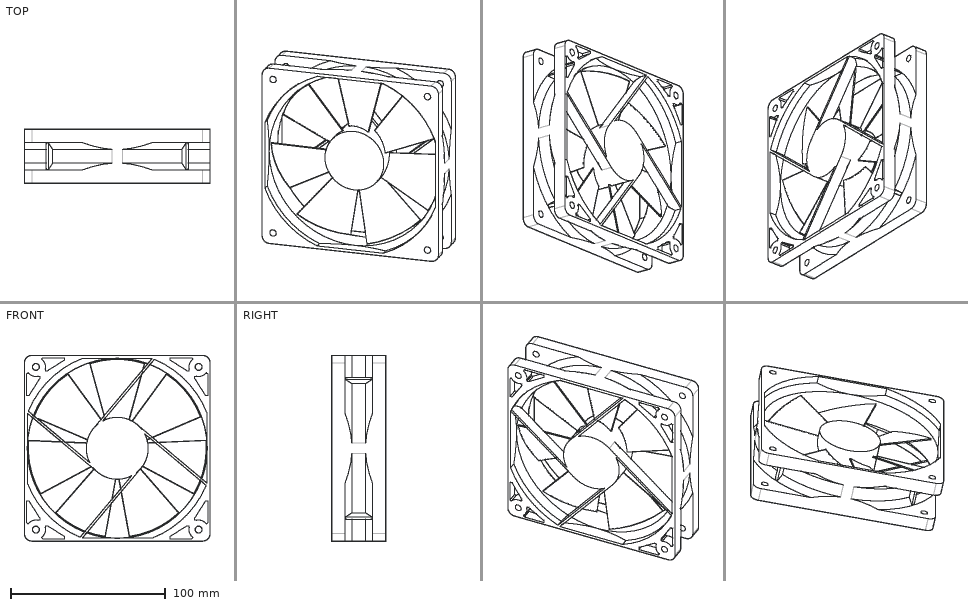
import cadquery as cq
import math


SIDE = 120.0
DEPTH = 35.0
CORNER_RADIUS = 5.0
FLANGE_THICKNESS = DEPTH / 4
FRONT_Y = -DEPTH / 2
FLANGE_INNER_Y = DEPTH / 2 - FLANGE_THICKNESS

WAIST_RADIUS = 60.1
WAIST_HALF_LENGTH = 4.5
BARREL_END_RADIUS = 64.0

THROAT_RADIUS = 58.0
THROAT_HALF_LENGTH = 8.75
MOUTH_RADIUS = 62.2
MOUTH_DEPTH = 4.8
BORE_SQUARE = 2 * THROAT_RADIUS

GUSSET_THICKNESS = 2.2
GUSSET_RADIUS = 63.7

HOLE_DIAMETER = 4.3
HOLE_SPACING = 105.0
POCKET_DEPTH = 6.75
POCKET_WALL = 1.6
POCKET_OUTER = SIDE / 2 - POCKET_WALL
POCKET_TIP_X = 34.1
POCKET_TIP_WIDTH = 1.5
POCKET_INNER = 50.0
POCKET_INNER_START = 45.0
POCKET_INNER_END = 46.2
HOLE_BOSS_RADIUS = 6.2
BOSS_ARC_START = 127.0
BOSS_ARC_END = 194.0

HUB_RADIUS = 20.0
HUB_LENGTH = 26.5
SPOKE_COUNT = 4
SPOKE_ANGLE = 50.0
SPOKE_WIDTH = 1.5
SPOKE_DEPTH = 8.0
SPOKE_LENGTH = 60.0

BLADE_COUNT = 7
BLADE_TIP_RADIUS = 57.5
BLADE_THICKNESS = 0.8
BLADE_CENTRE_Y = -0.3
BLADE_ROOT = 16.0
BLADE_END = 59.0
HALF_WIDTH_AT_AXIS = 2.6
HALF_WIDTH_SLOPE = 0.275
HALF_RISE_AT_AXIS = 1.8
HALF_RISE_SLOPE = 0.095


def box_xz(side, y_start, length):
    """Square block centred on the Y axis, from y_start toward +Y."""
    return cq.Workplane("XZ", origin=(0, y_start, 0)).rect(side, side).extrude(-length)


def disc(radius, y_start, length):
    """Cylinder about the Y axis, from y_start toward +Y."""
    return cq.Workplane("XZ", origin=(0, y_start, 0)).circle(radius).extrude(-length)


def turned(points):
    """Solid of revolution about Y from (radius, y) points."""
    return cq.Workplane("XY").polyline(points).close().revolve(360, (0, 0, 0), (0, 1, 0))


def around_y(shape, angle):
    return shape.rotate((0, 0, 0), (0, 1, 0), angle)


def make_barrel():
    return turned([
        (0, -FLANGE_INNER_Y),
        (BARREL_END_RADIUS, -FLANGE_INNER_Y),
        (WAIST_RADIUS, -WAIST_HALF_LENGTH),
        (WAIST_RADIUS, WAIST_HALF_LENGTH),
        (BARREL_END_RADIUS, FLANGE_INNER_Y),
        (0, FLANGE_INNER_Y),
    ])


def make_bore():
    end = DEPTH / 2
    mouth = end - MOUTH_DEPTH
    bore = turned([
        (0, -end),
        (MOUTH_RADIUS, -end),
        (MOUTH_RADIUS, -mouth),
        (THROAT_RADIUS, -THROAT_HALF_LENGTH),
        (THROAT_RADIUS, THROAT_HALF_LENGTH),
        (MOUTH_RADIUS, mouth),
        (MOUTH_RADIUS, end),
        (0, end),
    ])
    return bore.intersect(box_xz(BORE_SQUARE, FRONT_Y, DEPTH))


def make_gussets():
    """Two crossed diagonal plates; the bore leaves only their ends."""
    plate = cq.Workplane("XY").box(2 * GUSSET_RADIUS, 2 * FLANGE_INNER_Y, GUSSET_THICKNESS)
    return around_y(plate, 45).union(around_y(plate, -45))


def boss_point(angle):
    """Point on the round boss about the upper right hole, as (x, z)."""
    hole = HOLE_SPACING / 2
    return (
        hole + HOLE_BOSS_RADIUS * math.cos(math.radians(angle)),
        hole + HOLE_BOSS_RADIUS * math.sin(math.radians(angle)),
    )


def make_pocket():
    """Pocket along the upper edge: a tapered wedge that stops at the round boss of the hole."""
    arc_start = boss_point(BOSS_ARC_START)
    arc_middle = boss_point((BOSS_ARC_START + BOSS_ARC_END) / 2)
    arc_end = boss_point(BOSS_ARC_END)
    outer_end_x = arc_start[0] + (POCKET_OUTER - arc_start[1]) / math.tan(math.radians(BOSS_ARC_START))
    return (
        cq.Workplane("XZ", origin=(0, FRONT_Y, 0))
        .moveTo(*arc_start)
        .threePointArc(arc_middle, arc_end)
        .lineTo(POCKET_INNER_END, POCKET_INNER)
        .lineTo(POCKET_INNER_START, POCKET_INNER)
        .lineTo(POCKET_TIP_X, POCKET_OUTER - POCKET_TIP_WIDTH)
        .lineTo(POCKET_TIP_X, POCKET_OUTER)
        .lineTo(outer_end_x, POCKET_OUTER)
        .close()
        .extrude(-POCKET_DEPTH)
    )


def make_frame():
    outline = box_xz(SIDE, FRONT_Y, DEPTH).edges("|Y").fillet(CORNER_RADIUS)
    waist_gap = box_xz(2 * SIDE, -FLANGE_INNER_Y, 2 * FLANGE_INNER_Y)
    core = make_barrel().union(make_gussets()).intersect(outline)
    frame = outline.cut(waist_gap).union(core).cut(make_bore())
    holes = (
        cq.Workplane("XZ", origin=(0, FRONT_Y, 0))
        .rect(HOLE_SPACING, HOLE_SPACING, forConstruction=True)
        .vertices()
        .circle(HOLE_DIAMETER / 2)
        .extrude(-DEPTH)
    )
    frame = frame.cut(holes)
    pocket = make_pocket()
    pocket_pair = pocket.union(around_y(pocket.mirror("YZ"), 90))
    for quarter in range(4):
        frame = frame.cut(around_y(pocket_pair, 90 * quarter))
    return frame


def make_spoke():
    """Bar whose outer side is tangent to the hub."""
    bar = (
        cq.Workplane("XZ", origin=(0, FRONT_Y, 0))
        .moveTo(0, HUB_RADIUS)
        .lineTo(SPOKE_LENGTH, HUB_RADIUS)
        .lineTo(SPOKE_LENGTH, HUB_RADIUS - SPOKE_WIDTH)
        .lineTo(0, HUB_RADIUS - SPOKE_WIDTH)
        .close()
        .extrude(-SPOKE_DEPTH)
    )
    return around_y(bar, -SPOKE_ANGLE)


def blade_section(height):
    """Corners of the slanted blade section at a height above the axis."""
    half_width = HALF_WIDTH_AT_AXIS + HALF_WIDTH_SLOPE * height
    half_rise = HALF_RISE_AT_AXIS + HALF_RISE_SLOPE * height
    half_chord = math.hypot(half_width, half_rise)
    dx = BLADE_THICKNESS / 2 * half_rise / half_chord
    dy = BLADE_THICKNESS / 2 * half_width / half_chord
    return [
        (-half_width + dx, BLADE_CENTRE_Y + half_rise + dy),
        (half_width + dx, BLADE_CENTRE_Y - half_rise + dy),
        (half_width - dx, BLADE_CENTRE_Y - half_rise - dy),
        (-half_width - dx, BLADE_CENTRE_Y + half_rise - dy),
    ]


def make_blade():
    blade = (
        cq.Workplane("XY", origin=(0, 0, BLADE_ROOT))
        .polyline(blade_section(BLADE_ROOT))
        .close()
        .workplane(offset=BLADE_END - BLADE_ROOT)
        .polyline(blade_section(BLADE_END))
        .close()
        .loft(ruled=True)
    )
    return blade.intersect(disc(BLADE_TIP_RADIUS, FRONT_Y, DEPTH))


result = make_frame().union(disc(HUB_RADIUS, FRONT_Y, HUB_LENGTH))

spoke = make_spoke()
for index in range(SPOKE_COUNT):
    result = result.union(around_y(spoke, index * 360 / SPOKE_COUNT))

blade = make_blade()
for index in range(BLADE_COUNT):
    result = result.union(around_y(blade, index * 360 / BLADE_COUNT))